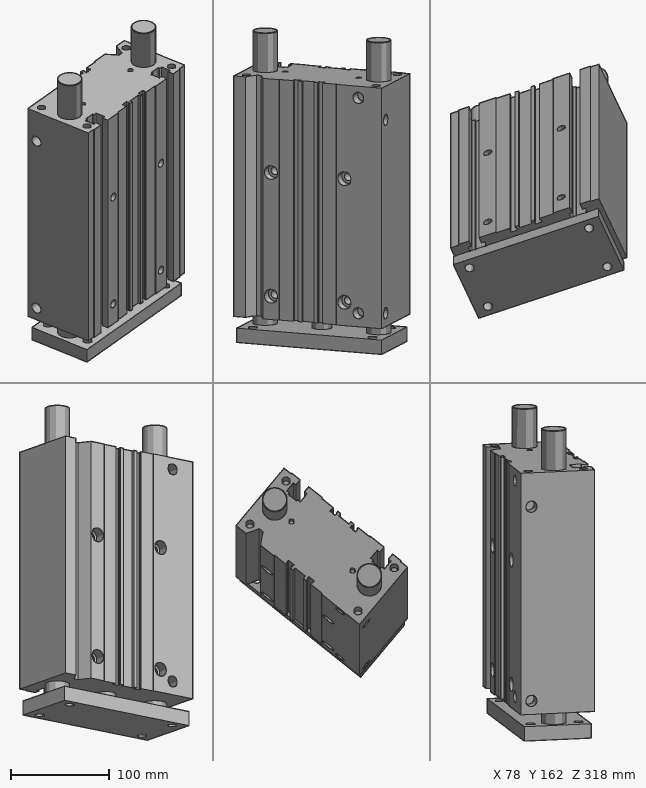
import cadquery as cq

TOTAL_HEIGHT = 318.0
BODY_WIDTH = 78.0
BODY_LENGTH = 162.0
BODY_BOTTOM = 27.7
BODY_TOP = 277.0
BODY_HEIGHT = BODY_TOP - BODY_BOTTOM
HALF_WIDTH = BODY_WIDTH / 2
HALF_LENGTH = BODY_LENGTH / 2
SIDE_X = (-1, 1)
ENDS_Y = (-1, 1)
CUT_MARGIN = 3.2

PLATE_WIDTH = 70.0
PLATE_LENGTH = 158.5
PLATE_THICKNESS = 15.0
GUIDE_ROD_DIAMETER = 25.0
GUIDE_ROD_OFFSET = 62.0
GUIDE_ROD_CHAMFER = 0.5
PISTON_ROD_DIAMETER = 20.0
PLATE_HOLE_DIAMETER = 9.2
PLATE_HOLE_X = 25.0
PLATE_HOLE_Y = 65.2

STEP_DEPTH = 1.0
MIDDLE_STEP_HALF_LENGTH = 31.2
CORNER_STEP_Y = 72.0

RECESS_FLOOR_X = 35.0
RECESS_HALF_LENGTH = 6.7
SENSOR_SLOT_Y = 13.5
SENSOR_MOUTH = 5.5
SENSOR_INSIDE = 7.0
SENSOR_LIP_X = 36.0
SENSOR_FLOOR_X = 33.0

T_SLOT_Y = 55.0
T_MOUTH = 11.0
T_INSIDE = 17.8
T_LIP_X = 32.0
T_HEAD_FLOOR_X = 21.5
T_FLOOR_X = 19.7

GROOVE_Y = 58.2
GROOVE_MOUTH = 19.5
GROOVE_FLOOR = 4.8
GROOVE_DEPTH = 12.5

BOLT_Y = 40.0
BOLT_HEIGHTS = (51.8, 180.0)
BOLT_DIAMETER = 8.5
BOLT_HEAD_DIAMETER = 14.3
BOLT_HEAD_DEPTH = 11.0

PORT_DIAMETER = 11.5
PORT_DEPTH = 12.7
SIDE_PORT_Y = -55.3
SIDE_PORT_HEIGHTS = (41.5, 265.0)
END_PORT_X = -28.0
END_PORT_HEIGHTS = (41.5, 242.0)

CORNER_HOLE_X = 29.0
CORNER_HOLE_Y = 71.0
CORNER_HOLE_DIAMETER = 8.3
CORNER_HOLE_DEPTH = 19.0
PIN_HOLE_Y = 40.0
PIN_HOLE_DIAMETER = 5.5
PIN_HOLE_DEPTH = 9.5


def body_prism(points):
    """Prism over the full body height from a plan outline."""
    return cq.Workplane("XY").workplane(offset=BODY_BOTTOM).polyline(points).close().extrude(BODY_HEIGHT)


def body_box(x_start, x_end, y_centre, y_length):
    """Box over the full body height."""
    y_low = y_centre - y_length / 2
    y_high = y_centre + y_length / 2
    return body_prism([(x_start, y_low), (x_end, y_low), (x_end, y_high), (x_start, y_high)])


def hole_along_x(y, z, diameter, depth):
    """Cylinder running from the -X face toward +X."""
    return cq.Workplane("YZ", origin=(-HALF_WIDTH, y, z)).circle(diameter / 2).extrude(depth)


def hole_along_y(x, z, diameter, depth):
    """Cylinder running from the -Y face toward +Y."""
    return cq.Workplane("XZ", origin=(x, -HALF_LENGTH, z)).circle(diameter / 2).extrude(-depth)


def holes_from_top(points, diameter, depth):
    """Cylinders running down from the top face of the body."""
    return cq.Workplane("XY").workplane(offset=BODY_TOP).pushPoints(points).circle(diameter / 2).extrude(-depth)


def both_sides(x, y):
    """The four points mirrored about both centre planes."""
    return [(sx * x, sy * y) for sx in SIDE_X for sy in ENDS_Y]


def cut_steps(body):
    step_x = HALF_WIDTH - STEP_DEPTH
    outside_x = HALF_WIDTH + CUT_MARGIN
    for side in SIDE_X:
        body = body.cut(body_box(side * step_x, side * outside_x, 0, 2 * MIDDLE_STEP_HALF_LENGTH))
    corner_length = HALF_LENGTH - CORNER_STEP_Y
    for end in ENDS_Y:
        corner_centre = end * (CORNER_STEP_Y + corner_length / 2)
        body = body.cut(body_box(step_x, outside_x, corner_centre, corner_length))
    return body


def cut_sensor_slots(body):
    outside_x = HALF_WIDTH + CUT_MARGIN
    for side in SIDE_X:
        body = body.cut(body_box(side * RECESS_FLOOR_X, side * outside_x, 0, 2 * RECESS_HALF_LENGTH))
        for end in ENDS_Y:
            slot_y = end * SENSOR_SLOT_Y
            body = body.cut(body_box(side * SENSOR_FLOOR_X, side * outside_x, slot_y, SENSOR_MOUTH))
            body = body.cut(body_box(side * SENSOR_FLOOR_X, side * SENSOR_LIP_X, slot_y, SENSOR_INSIDE))
    return body


def cut_t_slots(body):
    for end in ENDS_Y:
        slot_y = end * T_SLOT_Y
        body = body.cut(body_box(T_FLOOR_X, HALF_WIDTH + CUT_MARGIN, slot_y, T_MOUTH))
        body = body.cut(body_box(T_HEAD_FLOOR_X, T_LIP_X, slot_y, T_INSIDE))
    return body


def cut_groove(body):
    floor_x = -HALF_WIDTH + GROOVE_DEPTH
    groove = body_prism([
        (-HALF_WIDTH, GROOVE_Y - GROOVE_MOUTH / 2),
        (floor_x, GROOVE_Y - GROOVE_FLOOR / 2),
        (floor_x, GROOVE_Y + GROOVE_FLOOR / 2),
        (-HALF_WIDTH, GROOVE_Y + GROOVE_MOUTH / 2),
    ])
    return body.cut(groove)


def cut_bolt_holes(body):
    for end in ENDS_Y:
        for z in BOLT_HEIGHTS:
            body = body.cut(hole_along_x(end * BOLT_Y, z, BOLT_DIAMETER, BODY_WIDTH))
            body = body.cut(hole_along_x(end * BOLT_Y, z, BOLT_HEAD_DIAMETER, BOLT_HEAD_DEPTH))
    return body


def cut_ports(body):
    for z in SIDE_PORT_HEIGHTS:
        body = body.cut(hole_along_x(SIDE_PORT_Y, z, PORT_DIAMETER, PORT_DEPTH))
    for z in END_PORT_HEIGHTS:
        body = body.cut(hole_along_y(END_PORT_X, z, PORT_DIAMETER, PORT_DEPTH))
    return body


def cut_top_holes(body):
    corner_points = both_sides(CORNER_HOLE_X, CORNER_HOLE_Y)
    pin_points = [(0, end * PIN_HOLE_Y) for end in ENDS_Y]
    guide_points = [(0, end * GUIDE_ROD_OFFSET) for end in ENDS_Y]
    body = body.cut(holes_from_top(corner_points, CORNER_HOLE_DIAMETER, CORNER_HOLE_DEPTH))
    body = body.cut(holes_from_top(pin_points, PIN_HOLE_DIAMETER, PIN_HOLE_DEPTH))
    return body.cut(holes_from_top(guide_points, GUIDE_ROD_DIAMETER, BODY_HEIGHT))


def make_housing():
    """Extruded cylinder body with its slots, ports and guide bores."""
    body = body_box(-HALF_WIDTH, HALF_WIDTH, 0, BODY_LENGTH)
    for cut_feature in (cut_steps, cut_sensor_slots, cut_t_slots, cut_groove,
                        cut_bolt_holes, cut_ports, cut_top_holes):
        body = cut_feature(body)
    return body


def make_carriage():
    """End plate in one piece with the guide rods and the piston rod."""
    carriage = cq.Workplane("XY").rect(PLATE_WIDTH, PLATE_LENGTH).extrude(PLATE_THICKNESS)
    plate_holes = (
        cq.Workplane("XY")
        .pushPoints(both_sides(PLATE_HOLE_X, PLATE_HOLE_Y))
        .circle(PLATE_HOLE_DIAMETER / 2)
        .extrude(PLATE_THICKNESS)
    )
    carriage = carriage.cut(plate_holes)
    for end in ENDS_Y:
        guide_rod = (
            cq.Workplane("XY", origin=(0, end * GUIDE_ROD_OFFSET, 0))
            .circle(GUIDE_ROD_DIAMETER / 2)
            .extrude(TOTAL_HEIGHT)
            .faces(">Z")
            .chamfer(GUIDE_ROD_CHAMFER)
        )
        carriage = carriage.union(guide_rod)
    piston_rod = cq.Workplane("XY").circle(PISTON_ROD_DIAMETER / 2).extrude(BODY_BOTTOM)
    return carriage.union(piston_rod)


housing = make_housing()
carriage = make_carriage()
result = cq.Compound.makeCompound([housing.solids().val(), carriage.solids().val()])